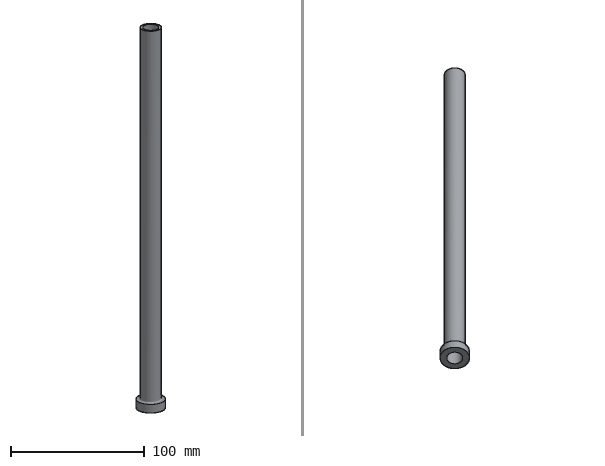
import cadquery as cq

total_length = 307.0
head_diameter = 22.0
head_height = 7.0
tube_diameter = 16.0
bore_diameter = 12.0
neck_fillet = 0.8

head = cq.Workplane("XY").circle(head_diameter / 2).extrude(head_height)
tube = cq.Workplane("XY").circle(tube_diameter / 2).extrude(total_length)
body = head.union(tube)

neck_edge = cq.selectors.RadiusNthSelector(0)
body = body.faces("<Z[-2]").edges(neck_edge).fillet(neck_fillet)

bore = cq.Workplane("XY").circle(bore_diameter / 2).extrude(total_length)
result = body.cut(bore)